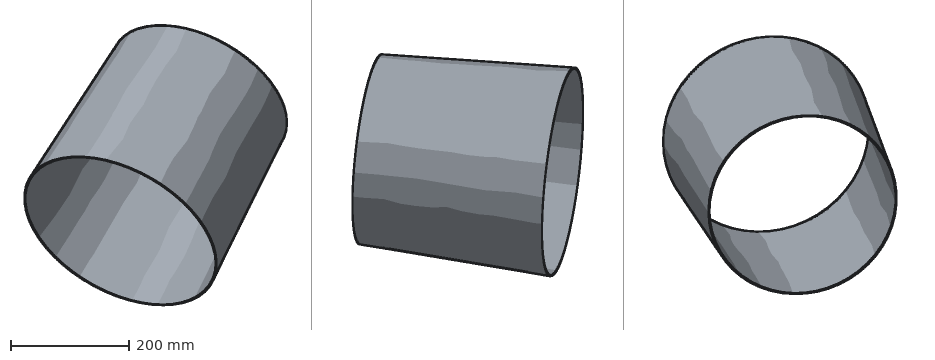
import cadquery as cq

large_diameter = 355.5
small_diameter = 324.0
length = 330.0
wall_thickness = 2.0

large_radius = large_diameter / 2
small_radius = small_diameter / 2
large_end_y = -length / 2
small_end_y = length / 2

wall_section = (
    cq.Workplane("XY")
    .moveTo(large_radius, large_end_y)
    .lineTo(small_radius, small_end_y)
    .lineTo(small_radius - wall_thickness, small_end_y)
    .lineTo(large_radius - wall_thickness, large_end_y)
    .close()
)

result = wall_section.revolve(360, (0, 0, 0), (0, 1, 0))